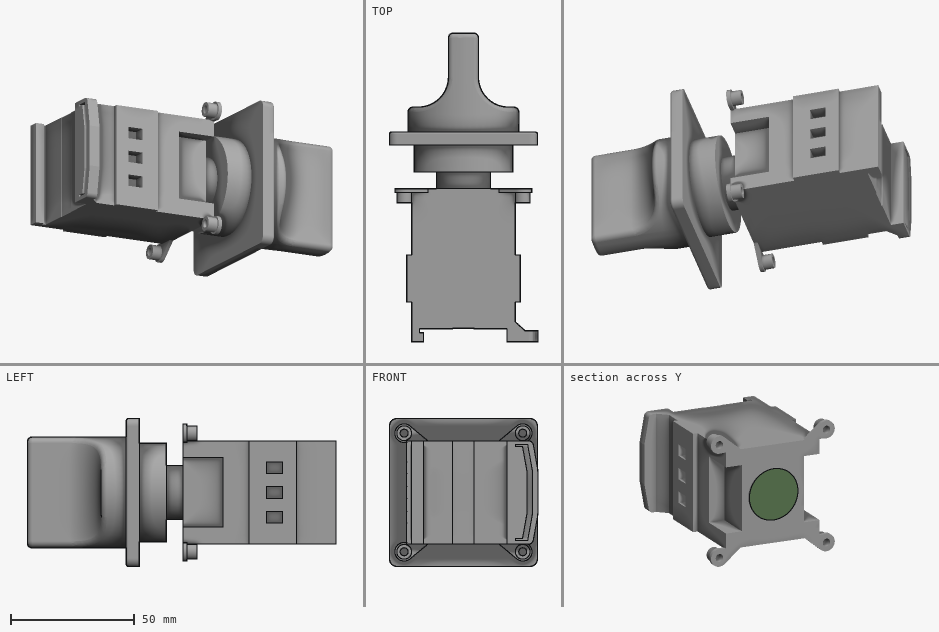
import cadquery as cq
import math


knob_radius = 22.5
knob_reach = 45.3
knob_base_reach = 15.5
grip_width = 12.2
flank_radius = 12.0
knob_side_fillet = 2.2
knob_tip_fillet = 2.0

plate_side = 60.0
plate_thickness = 5.4
plate_corner_radius = 3.1
plate_edge_fillet = 1.0
hub_radius = 20.0
hub_length = 10.9
shaft_radius = 11.0
shaft_length = 6.7

block_half_width = 21.0
block_half_height = 20.9
block_length = 62.0
block_front = -(hub_length + shaft_length)
block_rear = block_front - block_length

band_half_width = 23.0
band_start = 26.7
band_end = 45.8

pocket_depth = 7.1
pocket_length = 16.2
pocket_height = 28.1

window_depth = 5.6
window_length = 6.5
window_height = 4.7
window_pitch = 10.0
window_start = 33.8

channel_depth = 5.2
floor_y = block_rear + channel_depth
channel_left = -16.1
channel_right = 17.6
undercut_left = -17.7
undercut_height = 1.5
strip_half_width = 4.4
strip_depth = 0.2

foot_tip = 30.2
foot_thickness = 4.5
foot_flat_half_height = 8.4
foot_slope_run = 2.2
foot_corner_radius = 1.9
web_tip = 25.0
web_rise = 3.6

groove_wall = 2.2
groove_width = 2.2
groove_half_height = 19.4
groove_arm_width = 0.7
groove_arm_start = block_half_width
groove_depth = 2.5

ear_offset = 24.0
ear_radius = 3.7
ear_thickness = 1.6
ear_tip_x = 14.4
boss_radius = 3.0
boss_length = 5.7
screw_hole_radius = 1.6


def box(x_range, y_range, z_range):
    """Box between the given limits along each axis."""
    sizes = [high - low for low, high in (x_range, y_range, z_range)]
    corner = (x_range[0], y_range[0], z_range[0])
    return cq.Workplane("XY").box(*sizes, centered=False).translate(corner)


def cylinder(radius, y_start, y_end, x=0.0, z=0.0):
    """Cylinder along Y between two Y positions."""
    axis_start = cq.Vector(x, y_start, z)
    return cq.Workplane(cq.Solid.makeCylinder(radius, y_end - y_start, axis_start, cq.Vector(0, 1, 0)))


def extrude_up(outline, half_height):
    """Extrude an outline in the XY plane equally to both sides."""
    return outline.extrude(half_height, both=True)


def extrude_back(points, y_front, length):
    """Extrude an outline given as (x, z) points from y_front toward -Y."""
    return cq.Workplane("XZ", origin=(0, y_front, 0)).polyline(points).close().extrude(length)


def make_knob():
    half_grip = grip_width / 2
    flank_top = knob_base_reach + flank_radius
    flank_end = half_grip + flank_radius
    bulge = flank_radius * (1 - math.sqrt(0.5))
    outline = (
        cq.Workplane("XY")
        .moveTo(-knob_radius, 0)
        .lineTo(knob_radius, 0)
        .lineTo(knob_radius, knob_base_reach)
        .lineTo(flank_end, knob_base_reach)
        .threePointArc((half_grip + bulge, knob_base_reach + bulge), (half_grip, flank_top))
        .lineTo(half_grip, knob_reach)
        .lineTo(-half_grip, knob_reach)
        .lineTo(-half_grip, flank_top)
        .threePointArc((-half_grip - bulge, knob_base_reach + bulge), (-flank_end, knob_base_reach))
        .lineTo(-knob_radius, knob_base_reach)
        .close()
    )
    knob = extrude_up(outline, knob_radius).intersect(cylinder(knob_radius, 0, knob_reach))
    shoulder_zone = cq.selectors.BoxSelector(
        (-plate_side, plate_thickness, -plate_side),
        (plate_side, knob_reach - knob_tip_fillet, plate_side),
    )
    knob = knob.edges(shoulder_zone).edges("not |Z").fillet(knob_side_fillet)
    return knob.faces(">Y").edges().fillet(knob_tip_fillet)


def make_plate():
    half = plate_side / 2
    plate = box((-half, half), (0, plate_thickness), (-half, half))
    plate = plate.edges("|Y").fillet(plate_corner_radius)
    return plate.faces(">Y").edges().fillet(plate_edge_fillet)


def make_block():
    full_height = (-block_half_height, block_half_height)
    block = box((-block_half_width, block_half_width), (block_rear, block_front), full_height)
    band = box(
        (-band_half_width, band_half_width),
        (block_front - band_end, block_front - band_start),
        full_height,
    )
    return block.union(band)


def make_side_recesses():
    """Front pocket and three terminal windows, the same on both X sides."""
    window_y = block_front - window_start
    left = box(
        (-band_half_width, -block_half_width + pocket_depth),
        (block_front - pocket_length, block_front),
        (-pocket_height / 2, pocket_height / 2),
    )
    for step in (-1, 0, 1):
        z = step * window_pitch
        window = box(
            (-band_half_width, -band_half_width + window_depth),
            (window_y - window_length, window_y),
            (z - window_height / 2, z + window_height / 2),
        )
        left = left.union(window)
    return left.union(left.mirror("YZ"))


def make_channel():
    """Rail channel across the rear, with an undercut lip and a shallow middle strip."""
    full_height = (-block_half_height, block_half_height)
    channel = box((channel_left, channel_right), (block_rear, floor_y), full_height)
    undercut = box((undercut_left, channel_left), (floor_y - undercut_height, floor_y), full_height)
    strip = box((-strip_half_width, strip_half_width), (floor_y, floor_y + strip_depth), full_height)
    return channel.union(undercut).union(strip)


def end_x_at(tip, z):
    """X of the sloping foot end (or a line parallel to it) at height z above the flat stretch."""
    slope = foot_slope_run / (block_half_height - foot_flat_half_height)
    return tip - slope * (z - foot_flat_half_height)


def bent_line(tip, z_end):
    """Line parallel to the foot's end, from z_end down to -z_end."""
    top = end_x_at(tip, z_end)
    return [
        (top, z_end),
        (tip, foot_flat_half_height),
        (tip, -foot_flat_half_height),
        (top, -z_end),
    ]


def make_foot():
    foot_front = block_rear + foot_thickness
    root_top = (channel_right, block_half_height)
    root_bottom = (channel_right, -block_half_height)
    outline = [root_top] + bent_line(foot_tip, block_half_height) + [root_bottom]
    foot = extrude_back(outline, foot_front, foot_thickness)
    outer_corners = cq.selectors.BoxSelector(
        (web_tip, block_rear - foot_thickness, -plate_side),
        (foot_tip, block_front, plate_side),
    )
    foot = foot.edges("|Y").edges(outer_corners).edges(">Z or <Z").fillet(foot_corner_radius)

    web_outline = cq.Workplane("XY").polyline([
        (channel_right, foot_front),
        (web_tip, foot_front),
        (block_half_width, foot_front + web_rise),
        (channel_right, foot_front + web_rise),
    ]).close()
    return foot.union(extrude_up(web_outline, block_half_height))


def make_groove():
    """C-shaped groove that follows the foot's end in its rear face."""
    outer_tip = foot_tip - groove_wall
    inner_tip = outer_tip - groove_width
    inner_half_height = groove_half_height - groove_arm_width
    outer = bent_line(outer_tip, groove_half_height)
    inner = bent_line(inner_tip, inner_half_height)
    arm_ends_bottom = [(groove_arm_start, -groove_half_height), (groove_arm_start, -inner_half_height)]
    arm_ends_top = [(groove_arm_start, inner_half_height), (groove_arm_start, groove_half_height)]
    outline = outer + arm_ends_bottom + inner[::-1] + arm_ends_top
    return extrude_back(outline, block_rear + groove_depth, groove_depth)


def make_ear(x_side, z_side):
    """Round ear with a flank tangent to it running into the block, and a screw boss behind."""
    tip_dx = ear_tip_x - ear_offset
    tip_dz = block_half_height - ear_offset
    distance = math.hypot(tip_dx, tip_dz)
    toward_tip = math.atan2(tip_dz, tip_dx)
    spread = math.acos(ear_radius / distance)

    def rim(angle):
        x = ear_offset + ear_radius * math.cos(angle)
        z = ear_offset + ear_radius * math.sin(angle)
        return (x_side * x, z_side * z)

    flank = [
        (x_side * ear_tip_x, z_side * block_half_height),
        rim(toward_tip - spread),
        (x_side * ear_offset, z_side * ear_offset),
        rim(toward_tip + spread),
    ]
    x = x_side * ear_offset
    z = z_side * ear_offset
    ear = extrude_back(flank, block_front, ear_thickness)
    ear = ear.union(cylinder(ear_radius, block_front - ear_thickness, block_front, x, z))
    ear = ear.union(cylinder(boss_radius, block_front - boss_length, block_front, x, z))
    return ear.cut(cylinder(screw_hole_radius, block_front - boss_length, block_front, x, z))


result = make_knob().union(make_plate())
result = result.union(cylinder(hub_radius, -hub_length, 0))
result = result.union(cylinder(shaft_radius, block_front, -hub_length))
result = result.union(make_block().cut(make_side_recesses()).cut(make_channel()))
result = result.union(make_foot().cut(make_groove()))
for x_side in (-1, 1):
    for z_side in (-1, 1):
        result = result.union(make_ear(x_side, z_side))